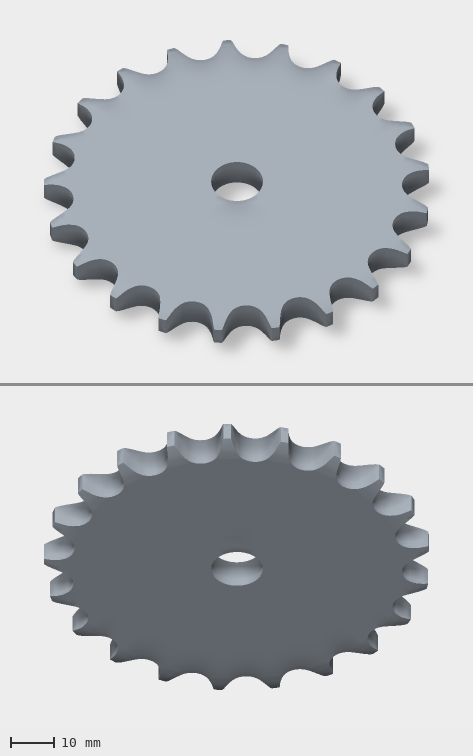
import cadquery as cq
import math

tooth_count = 21
pitch_diameter = 85.2
tip_diameter = 89.7
roller_diameter = 8.5
thickness = 7.2
bore_diameter = 12.0
flat_face_diameter = 78.3

pitch_radius = pitch_diameter / 2
tip_radius = tip_diameter / 2
flat_face_radius = flat_face_diameter / 2
half_thickness = thickness / 2
chain_pitch = pitch_diameter * math.sin(math.pi / tooth_count)
tooth_side_radius = chain_pitch

seat_clearance = 0.04
seat_radius = 0.5025 * roller_diameter + seat_clearance
seat_end_heading = 35 + 60 / tooth_count
working_sweep = 18 - 56 / tooth_count
topping_angle = 17 - 64 / tooth_count
topping_sweep = 20.0
working_radius = 1.3025 * roller_diameter + seat_clearance


def sine(degrees):
    return math.sin(math.radians(degrees))


def cosine(degrees):
    return math.cos(math.radians(degrees))


working_centre_distance = 0.8 * roller_diameter
topping_centre_distance = 1.4 * roller_diameter
flank_length = (
    topping_centre_distance * sine(topping_angle) - working_centre_distance * sine(working_sweep)
)
topping_radius = (
    working_centre_distance * cosine(working_sweep)
    + topping_centre_distance * cosine(topping_angle)
    - working_radius
)


def step(point, heading, length):
    """Move from a point; the heading is measured in degrees from the +Y gap axis."""
    return (point[0] + length * sine(heading), point[1] + length * cosine(heading))


def arc_points(start, radius, heading, end_heading):
    """Middle and end points of an arc that turns from one heading to another."""
    turn = end_heading - heading
    middle = step(start, heading + turn / 4, 2 * radius * sine(abs(turn) / 4))
    end = step(start, heading + turn / 2, 2 * radius * sine(abs(turn) / 2))
    return middle, end


def half_gap():
    """Half of one tooth gap, on the +X side of its axis."""
    flank_heading = seat_end_heading - working_sweep
    root = (0, pitch_radius - seat_radius)
    seat_middle, seat_end = arc_points(root, seat_radius, 90, seat_end_heading)
    working_middle, working_end = arc_points(seat_end, working_radius, seat_end_heading, flank_heading)
    flank_end = step(working_end, flank_heading, flank_length)
    topping_middle, topping_end = arc_points(
        flank_end, topping_radius, flank_heading, flank_heading + topping_sweep
    )

    return (
        cq.Workplane("XY")
        .workplane(offset=-half_thickness)
        .moveTo(*root)
        .threePointArc(seat_middle, seat_end)
        .threePointArc(working_middle, working_end)
        .lineTo(*flank_end)
        .threePointArc(topping_middle, topping_end)
        .lineTo(0, topping_end[1])
        .close()
        .extrude(thickness)
    )


def blank():
    """Disc with a bore, whose rim is rounded toward the tooth tips on both faces."""
    bore_radius = bore_diameter / 2

    def side_height(radius):
        run = radius - flat_face_radius
        return half_thickness - tooth_side_radius + math.sqrt(tooth_side_radius**2 - run**2)

    middle_radius = (flat_face_radius + tip_radius) / 2
    middle_height = side_height(middle_radius)
    tip_height = side_height(tip_radius)
    return (
        cq.Workplane("XZ")
        .moveTo(bore_radius, -half_thickness)
        .lineTo(flat_face_radius, -half_thickness)
        .threePointArc((middle_radius, -middle_height), (tip_radius, -tip_height))
        .lineTo(tip_radius, tip_height)
        .threePointArc((middle_radius, middle_height), (flat_face_radius, half_thickness))
        .lineTo(bore_radius, half_thickness)
        .close()
        .revolve(360, (0, 0, 0), (0, 1, 0))
    )


right_half = half_gap()
gap = right_half.union(right_half.mirror("YZ"))
result = blank()
for index in range(tooth_count):
    result = result.cut(gap.rotate((0, 0, 0), (0, 0, 1), index * 360 / tooth_count))